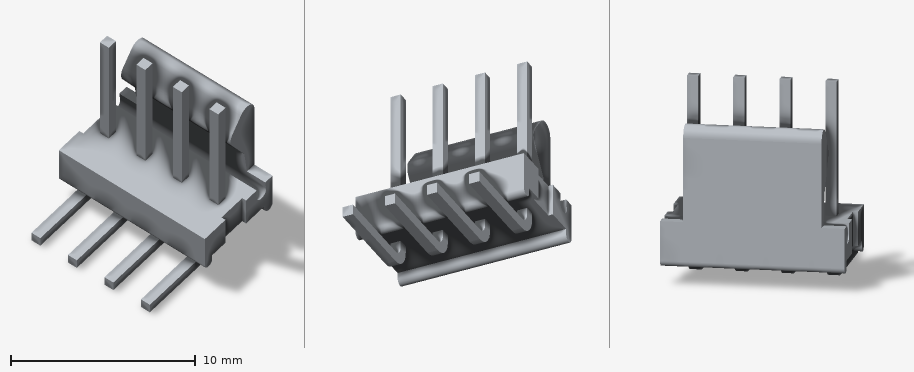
import cadquery as cq
import math


pin_count = 4
pitch = 2.54
pin_size = 0.62
pin_top_z = 10.03
pin_bottom_z = -1.02
pin_end_y = -6.22
bend_inner_radius = 0.64

housing_length = pin_count * pitch
housing_top_z = 2.54
back_y = 3.18
front_y = -2.67
foot_width = 0.64
foot_height = 0.64
foot_radius = foot_width / 2
notch_depth = 0.27
notch_width = 1.78

groove_radius = 0.41
groove_centre = (2.22, 1.93)
groove_front_y = groove_centre[0] - groove_radius
groove_bottom_z = groove_centre[1] - groove_radius

latch_length = (pin_count - 1) * pitch
latch_top_z = 7.87
tip_radius = 0.64
tip_centre = (back_y - tip_radius, latch_top_z - tip_radius)
nose_radius = 0.78
nose_y = 1.13
nose_centre = (nose_y + nose_radius, 6.23)
neck = (2.32, 4.17)


def on_circle(centre, radius, angle):
    """Point of a circle at an angle in radians."""
    return (centre[0] + radius * math.cos(angle), centre[1] + radius * math.sin(angle))


def tangent_angle(start, start_radius, end, end_radius, side):
    """Angle from each centre to its touching point on the common outer tangent line.

    Looking from start to end, side is +1 for the left tangent and -1 for the right one.
    A radius of zero stands for a plain point.
    """
    dy = end[0] - start[0]
    dz = end[1] - start[1]
    spread = math.acos((start_radius - end_radius) / math.hypot(dy, dz))
    return math.atan2(dz, dy) + side * spread


def extrude_along_x(profile, length):
    """Extrude a closed YZ profile to the given length, centred on X = 0."""
    return profile.extrude(length / 2, both=True)


stem_angle = tangent_angle(neck, 0, groove_centre, groove_radius, 1)
stem_foot = on_circle(groove_centre, groove_radius, stem_angle)
stem_fraction = (housing_top_z - stem_foot[1]) / (neck[1] - stem_foot[1])
stem_top = (stem_foot[0] + stem_fraction * (neck[0] - stem_foot[0]), housing_top_z)


def make_base():
    """Full-length base with two round-ended feet and the open-topped groove."""
    front_foot_y = front_y + foot_width
    back_foot_y = back_y - foot_width
    profile = (
        cq.Workplane("YZ")
        .moveTo(front_y, housing_top_z)
        .lineTo(front_y, foot_radius)
        .threePointArc((front_y + foot_radius, 0), (front_foot_y, foot_radius))
        .lineTo(front_foot_y, foot_height)
        .lineTo(back_foot_y, foot_height)
        .lineTo(back_foot_y, foot_radius)
        .threePointArc((back_y - foot_radius, 0), (back_y, foot_radius))
        .lineTo(back_y, housing_top_z)
        .lineTo(*stem_top)
        .lineTo(*stem_foot)
        .threePointArc((groove_centre[0], groove_bottom_z), (groove_front_y, groove_centre[1]))
        .lineTo(groove_front_y, housing_top_z)
        .close()
    )
    return extrude_along_x(profile, housing_length)


def make_end_notches():
    """Shallow full-height notches in both ends of the base, in line with the pins."""
    end_x = housing_length / 2
    return (
        cq.Workplane("XY")
        .pushPoints([(-end_x, 0), (end_x, 0)])
        .rect(2 * notch_depth, notch_width)
        .extrude(housing_top_z)
    )


def make_latch():
    """Upright latch with a thin stem, a rounded nose towards the pins and a rounded tip."""
    lower_angle = tangent_angle(neck, 0, nose_centre, nose_radius, 1)
    upper_angle = tangent_angle(nose_centre, nose_radius, tip_centre, tip_radius, 1)
    profile = (
        cq.Workplane("YZ")
        .moveTo(back_y, housing_top_z)
        .lineTo(*stem_top)
        .lineTo(*neck)
        .lineTo(*on_circle(nose_centre, nose_radius, lower_angle))
        .threePointArc((nose_y, nose_centre[1]), on_circle(nose_centre, nose_radius, upper_angle))
        .lineTo(*on_circle(tip_centre, tip_radius, upper_angle))
        .threePointArc((tip_centre[0], latch_top_z), (back_y, tip_centre[1]))
        .close()
    )
    return extrude_along_x(profile, latch_length)


def make_pin(x):
    """Square pin swept down through the base and bent towards -Y."""
    bend_radius = bend_inner_radius + pin_size / 2
    tail_z = pin_bottom_z + pin_size / 2
    bend_centre = (-bend_radius, tail_z + bend_radius)
    path = (
        cq.Workplane("YZ", origin=(x, 0, 0))
        .moveTo(0, pin_top_z)
        .lineTo(0, bend_centre[1])
        .threePointArc(on_circle(bend_centre, bend_radius, -math.pi / 4), (bend_centre[0], tail_z))
        .lineTo(pin_end_y, tail_z)
    )
    section = cq.Workplane("XY", origin=(x, 0, pin_top_z)).rect(pin_size, pin_size)
    return section.sweep(path)


result = make_base().cut(make_end_notches()).union(make_latch())
for index in range(pin_count):
    pin_x = (index - (pin_count - 1) / 2) * pitch
    result = result.union(make_pin(pin_x))